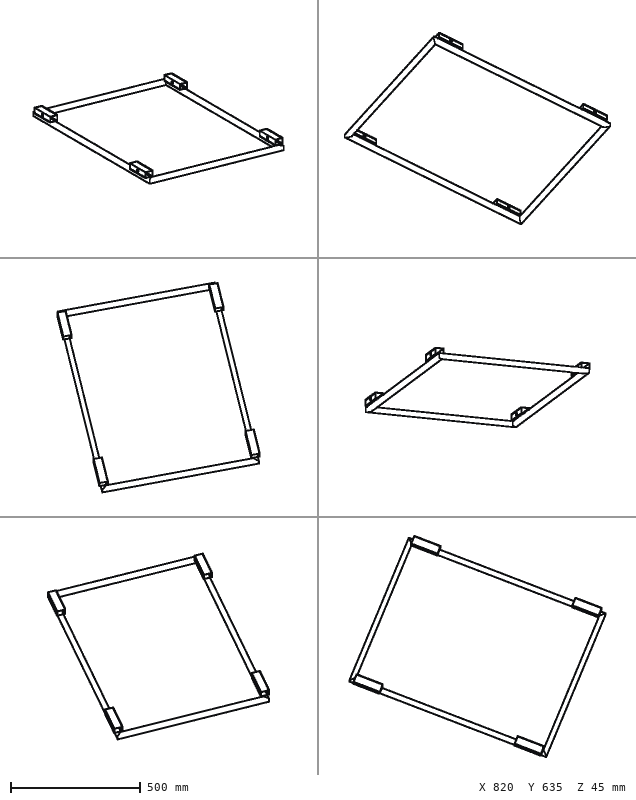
import cadquery as cq

frame_length = 820.0
frame_width = 620.0
bar_size = 20.0
bar_edge_radius = 2.0

total_width = 635.0
total_height = 45.0
bracket_length = 110.0
bracket_wall = 2.0
bolt_hole_diameter = 10.0

bracket_height = total_height - bar_size
bracket_overhang = (total_width - frame_width) / 2
bracket_width = bar_size + 2 * bracket_overhang
bracket_x = frame_length / 2 - bar_size - bracket_length / 2
bracket_y = (frame_width - bar_size) / 2


def mitred_bar(length):
    """Bar along X centred on the Z axis, resting on Z = 0, with its long side at -Y."""
    half_length = length / 2
    half_bar = bar_size / 2
    blank = (
        cq.Workplane("XY")
        .box(length, bar_size, bar_size, centered=(True, True, False))
        .edges("|X")
        .fillet(bar_edge_radius)
    )
    mitre_outline = (
        cq.Workplane("XY")
        .polyline([
            (-half_length, -half_bar),
            (half_length, -half_bar),
            (half_length - bar_size, half_bar),
            (-half_length + bar_size, half_bar),
        ])
        .close()
        .extrude(bar_size)
    )
    return blank.intersect(mitre_outline)


def frame_bar(length, frame_depth, angle):
    """Mitred bar moved out to its side of the frame and turned about the Z axis."""
    outward = (frame_depth - bar_size) / 2
    return mitred_bar(length).translate((0, -outward, 0)).rotate((0, 0, 0), (0, 0, 1), angle)


def tube_bracket(x, y):
    """Rectangular tube along X, open at both ends, with a bolt hole through both side walls."""
    wall_section = (
        cq.Workplane("YZ")
        .rect(bracket_width, bracket_height)
        .rect(bracket_width - 2 * bracket_wall, bracket_height - 2 * bracket_wall)
    )
    tube = wall_section.extrude(bracket_length / 2, both=True)
    bolt_hole = (
        cq.Workplane("XZ")
        .circle(bolt_hole_diameter / 2)
        .extrude(bracket_width, both=True)
    )
    return tube.cut(bolt_hole).translate((x, y, bar_size + bracket_height / 2))


long_bars = [frame_bar(frame_length, frame_width, angle) for angle in (0, 180)]
short_bars = [frame_bar(frame_width, frame_length, angle) for angle in (90, 270)]
brackets = [
    tube_bracket(side_x * bracket_x, side_y * bracket_y)
    for side_x in (-1, 1)
    for side_y in (-1, 1)
]

bodies = long_bars + short_bars + brackets
result = cq.Compound.makeCompound([body.solids().val() for body in bodies])